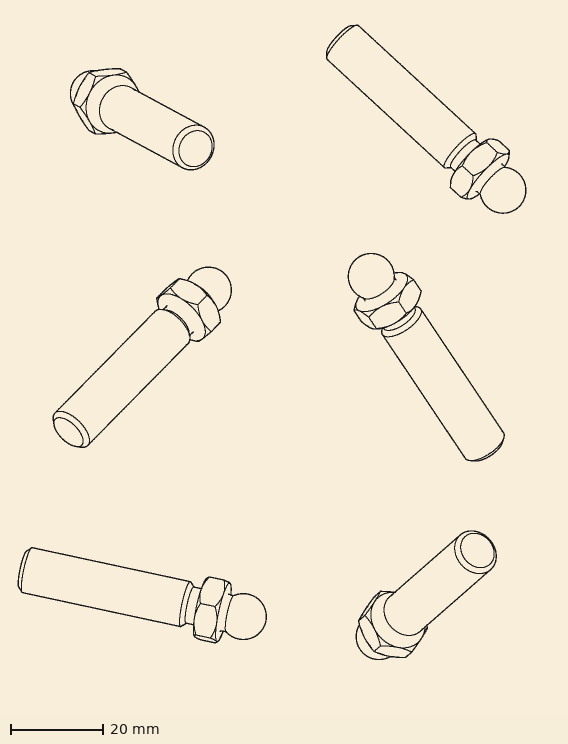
import cadquery as cq
import math

total_length = 54.5
shank_radius = 5.0
neck_radius = 4.05
end_chamfer = shank_radius - neck_radius

ball_radius = 5.0
ball_end = ball_radius + math.sqrt(ball_radius**2 - neck_radius**2)

hex_start = 9.5
hex_length = 5.0
hex_end = hex_start + hex_length
hex_across_flats = 13.0
hex_across_corners = hex_across_flats / math.cos(math.pi / 6)
hex_corner_radius = hex_across_corners / 2
hex_face_radius = hex_across_flats / 2
hex_chamfer_length = 0.85
neck_fillet = 0.5

shank_start = 17.0


def fillet_middle(face_x, side):
    """Middle of the quarter arc joining the neck to a collar face; side is -1 or +1 along X."""
    offset = neck_fillet * (1 - math.sqrt(0.5))
    return (face_x + side * offset, neck_radius + offset)


def make_spindle():
    """Ball, filleted necks and chamfered shank as one revolved profile."""
    fillet_top = neck_radius + neck_fillet
    profile = (
        cq.Workplane("XY")
        .threePointArc((ball_radius, ball_radius), (ball_end, neck_radius))
        .lineTo(hex_start - neck_fillet, neck_radius)
        .threePointArc(fillet_middle(hex_start, -1), (hex_start, fillet_top))
        .lineTo(hex_end, fillet_top)
        .threePointArc(fillet_middle(hex_end, 1), (hex_end + neck_fillet, neck_radius))
        .lineTo(shank_start, neck_radius)
        .lineTo(shank_start + end_chamfer, shank_radius)
        .lineTo(total_length - end_chamfer, shank_radius)
        .lineTo(total_length, shank_radius - end_chamfer)
        .lineTo(total_length, 0)
        .close()
    )
    return profile.revolve(360, (0, 0, 0), (1, 0, 0))


def make_collar():
    """Hexagon with corners on the Y axis, its corners cut by a cone at each face."""
    hexagon = (
        cq.Workplane("YZ", origin=(hex_start, 0, 0))
        .polygon(6, hex_across_corners)
        .extrude(hex_length)
    )
    envelope = (
        cq.Workplane("XY")
        .moveTo(hex_start, 0)
        .lineTo(hex_start, hex_face_radius)
        .lineTo(hex_start + hex_chamfer_length, hex_corner_radius)
        .lineTo(hex_end - hex_chamfer_length, hex_corner_radius)
        .lineTo(hex_end, hex_face_radius)
        .lineTo(hex_end, 0)
        .close()
        .revolve(360, (0, 0, 0), (1, 0, 0))
    )
    return hexagon.intersect(envelope)


result = make_spindle().union(make_collar())